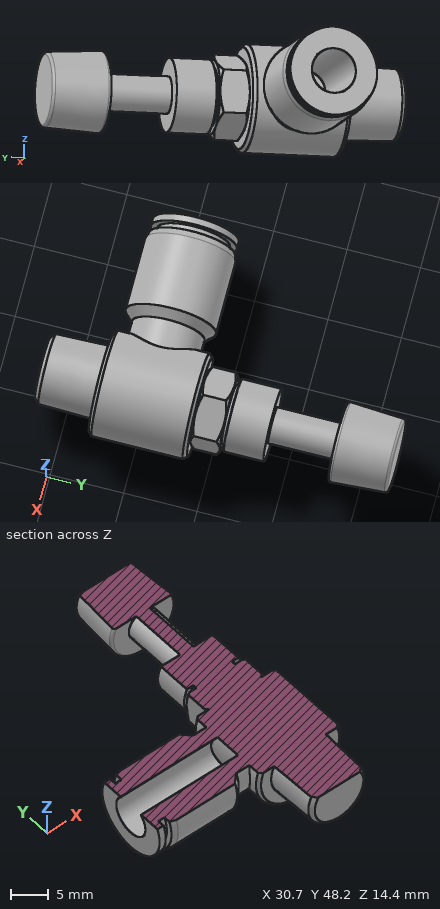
import cadquery as cq
import math


thread_root_diameter = 10.0
thread_end_diameter = 9.6
thread_tip_diameter = 8.4
thread_chamfer_length = 0.65

body_diameter = 14.4
body_start = 8.0
body_end = 21.4
body_chamfer = 0.5

hex_across_flats = 9.95
hex_end = 25.4
hex_bevel_angle = 30
neck_diameter = 8.0
collar_diameter = 9.95
collar_start = 25.95
collar_end = 31.35

stem_diameter = 4.95
knob_start = 40.25
knob_end = 48.2
knob_large_diameter = 11.0
knob_small_diameter = 10.03
knob_round = 0.4

port_y = (body_start + body_end) / 2
overall_width = 30.7
port_length = overall_width - body_diameter / 2
port_neck_diameter = 9.95
sleeve_diameter = 12.4
sleeve_cone_start = 9.1
sleeve_cone_end = 10.4
sleeve_end = 21.45
sleeve_bevel_length = 0.9
sleeve_bevel_depth = 0.3
release_ring_diameter = 11.8
release_ring_width = 1.05
bore_diameter = 6.0


def revolve_about_y(profile):
    """Revolve (radius, y) points about the main axis."""
    points = [(0, profile[0][1]), *profile, (0, profile[-1][1])]
    return cq.Workplane("XY").polyline(points).close().revolve(360, (0, 0), (0, 1))


def cylinder_y(diameter, start, end):
    return revolve_about_y([(diameter / 2, start), (diameter / 2, end)])


def make_thread():
    return revolve_about_y([
        (thread_tip_diameter / 2, 0),
        (thread_end_diameter / 2, thread_chamfer_length),
        (thread_root_diameter / 2, body_start),
    ])


def make_body():
    return cylinder_y(body_diameter, body_start, body_end).edges().chamfer(body_chamfer)


def make_hexagon():
    """Hexagon with corners toward +Z and -Z, its corners bevelled at both ends."""
    across_corners = hex_across_flats / math.cos(math.radians(30))
    prism = (
        cq.Workplane("XZ", origin=(0, body_end, 0))
        .transformed(rotate=(0, 0, 90))
        .polygon(6, across_corners)
        .extrude(body_end - hex_end)
    )
    flat_radius = hex_across_flats / 2
    corner_radius = across_corners / 2
    bevel_length = (corner_radius - flat_radius) * math.tan(math.radians(hex_bevel_angle))
    envelope = revolve_about_y([
        (flat_radius, body_end),
        (corner_radius, body_end + bevel_length),
        (corner_radius, hex_end - bevel_length),
        (flat_radius, hex_end),
    ])
    return prism.intersect(envelope)


def make_knob():
    knob = revolve_about_y([
        (knob_large_diameter / 2, knob_start),
        (knob_small_diameter / 2, knob_end),
    ])
    return knob.edges("%CIRCLE").fillet(knob_round)


def make_port():
    """Stepped tube port, revolved about its own axis along X."""
    neck_radius = port_neck_diameter / 2
    sleeve_radius = sleeve_diameter / 2
    ring_radius = release_ring_diameter / 2
    ring_start = port_length - release_ring_width
    profile = [
        (0, 0),
        (0, neck_radius),
        (-sleeve_cone_start, neck_radius),
        (-sleeve_cone_end, sleeve_radius),
        (-sleeve_end + sleeve_bevel_length, sleeve_radius),
        (-sleeve_end, sleeve_radius - sleeve_bevel_depth),
        (-sleeve_end, neck_radius),
        (-ring_start, neck_radius),
        (-ring_start, ring_radius),
        (-port_length, ring_radius),
        (-port_length, 0),
    ]
    return (
        cq.Workplane("XY", origin=(0, port_y, 0))
        .polyline(profile).close()
        .revolve(360, (0, 0), (1, 0))
    )


def make_bore():
    """Tube bore, which the solid body later closes at its inner end."""
    return (
        cq.Workplane("YZ", origin=(-port_length, port_y, 0))
        .circle(bore_diameter / 2)
        .extrude(port_length)
    )


result = (
    make_port()
    .cut(make_bore())
    .union(make_body())
    .union(make_thread())
    .union(make_hexagon())
    .union(cylinder_y(neck_diameter, hex_end, collar_start))
    .union(cylinder_y(collar_diameter, collar_start, collar_end))
    .union(cylinder_y(stem_diameter, collar_end, knob_start))
    .union(make_knob())
)